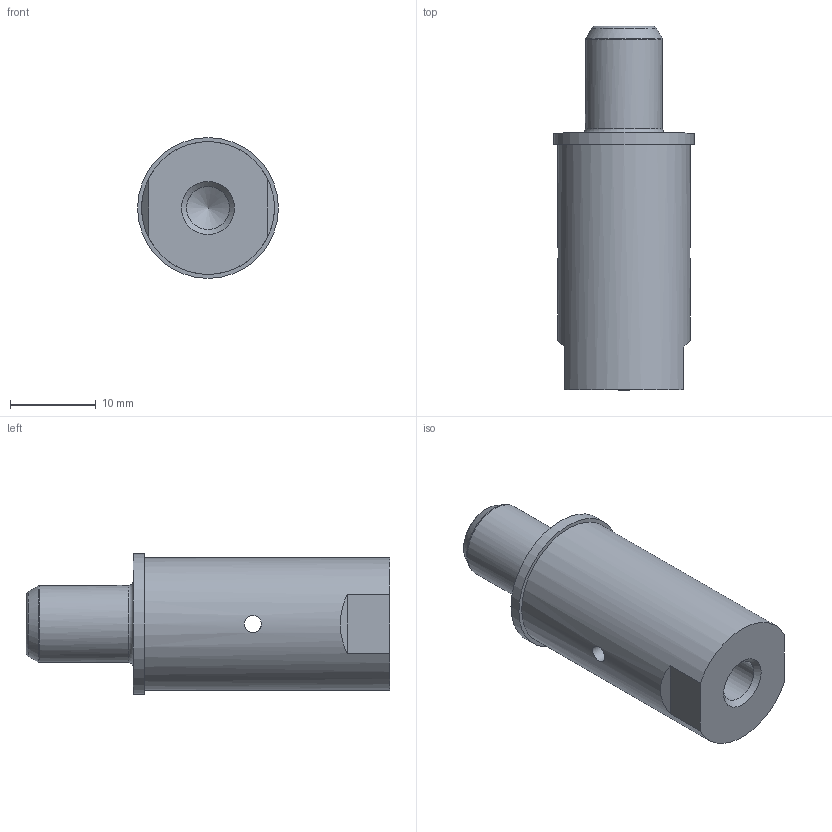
import cadquery as cq
import math

total_length = 42.5
body_diameter = 15.5
flange_diameter = 16.44
flange_thickness = 1.3
spigot_diameter = 9.0
spigot_length = 12.5
spigot_root_fillet = 0.5

tip_taper_length = 1.5
tip_taper_angle = 30.0
tip_end_round = 0.5
tip_shoulder_round = 0.3

flats_width = 13.9
flats_length = 5.0
flat_runout_angle = 45.0

bore_diameter = 5.0
bore_depth = 12.0
bore_drill_angle = 118.0
countersink_diameter = 6.2
countersink_angle = 90.0

cross_hole_diameter = 2.0
cross_hole_position = 16.0

selection_tolerance = 0.01


def cone_height(radius_change, included_angle):
    """Axial length of a cone whose radius changes by radius_change."""
    return radius_change / math.tan(math.radians(included_angle / 2))


def revolve_about_y(profile):
    """Close a half profile in the XY plane and turn it around the Y axis."""
    return profile.close().revolve(360, (0, 0, 0), (0, 1, 0))


def circle_edges_at(position, reach):
    """Selector for the circular edges at a Y position that lie within reach of the axis."""
    outer = reach + selection_tolerance
    return cq.selectors.BoxSelector(
        (-outer, position - selection_tolerance, -outer),
        (outer, position + selection_tolerance, outer),
        boundingbox=True,
    )


def make_turned_body():
    body_radius = body_diameter / 2
    flange_radius = flange_diameter / 2
    spigot_radius = spigot_diameter / 2
    flange_back = total_length - spigot_length
    flange_front = flange_back - flange_thickness
    taper_start = total_length - tip_taper_length
    tip_radius = spigot_radius - tip_taper_length * math.tan(math.radians(tip_taper_angle))

    profile = (
        cq.Workplane("XY")
        .lineTo(body_radius, 0)
        .lineTo(body_radius, flange_front)
        .lineTo(flange_radius, flange_front)
        .lineTo(flange_radius, flange_back)
        .lineTo(spigot_radius, flange_back)
        .lineTo(spigot_radius, taper_start)
        .lineTo(tip_radius, total_length)
        .lineTo(0, total_length)
    )
    turned = revolve_about_y(profile)
    rounds = (
        (total_length, tip_end_round),
        (taper_start, tip_shoulder_round),
        (flange_back, spigot_root_fillet),
    )
    for position, radius in rounds:
        turned = turned.edges(circle_edges_at(position, spigot_radius)).fillet(radius)
    return turned


def make_flat_cutter(side):
    """Material removed beside one flat, ending in a sloped runout; side is +1 or -1."""
    flat_x = flats_width / 2
    outer_x = flange_diameter / 2
    runout_length = (outer_x - flat_x) / math.tan(math.radians(flat_runout_angle))
    return (
        cq.Workplane("XY")
        .moveTo(side * flat_x, 0)
        .lineTo(side * flat_x, flats_length)
        .lineTo(side * outer_x, flats_length + runout_length)
        .lineTo(side * outer_x, 0)
        .close()
        .extrude(body_diameter / 2, both=True)
    )


def make_bore():
    bore_radius = bore_diameter / 2
    countersink_radius = countersink_diameter / 2
    countersink_depth = cone_height(countersink_radius - bore_radius, countersink_angle)
    profile = (
        cq.Workplane("XY")
        .lineTo(countersink_radius, 0)
        .lineTo(bore_radius, countersink_depth)
        .lineTo(bore_radius, bore_depth)
        .lineTo(0, bore_depth + cone_height(bore_radius, bore_drill_angle))
    )
    return revolve_about_y(profile)


def make_cross_hole():
    return (
        cq.Workplane("YZ")
        .center(cross_hole_position, 0)
        .circle(cross_hole_diameter / 2)
        .extrude(body_diameter, both=True)
    )


result = make_turned_body()
for flat_side in (1, -1):
    result = result.cut(make_flat_cutter(flat_side))
result = result.cut(make_bore())
result = result.cut(make_cross_hole())